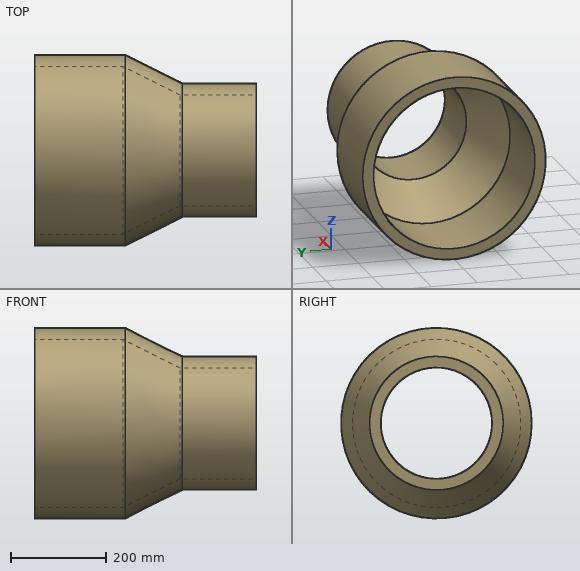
import math

import cadquery as cq

wide_diameter = 400.0
narrow_diameter = 280.0
wall = 23.7

total_length = 465.0
wide_length = 190.0
taper_length = 120.0

taper_angle = math.atan2((wide_diameter - narrow_diameter) / 2, taper_length)
bore_shift = wall * math.tan(taper_angle / 2)


def stepped_body(wide_radius, narrow_radius, taper_start):
    """Solid of revolution about X: wide cylinder, cone, narrow cylinder."""
    return (
        cq.Workplane("XY")
        .lineTo(0, wide_radius)
        .lineTo(taper_start, wide_radius)
        .lineTo(taper_start + taper_length, narrow_radius)
        .lineTo(total_length, narrow_radius)
        .lineTo(total_length, 0)
        .close()
        .revolve(360, (0, 0, 0), (1, 0, 0))
    )


outer_body = stepped_body(wide_diameter / 2, narrow_diameter / 2, wide_length)
bore = stepped_body(wide_diameter / 2 - wall, narrow_diameter / 2 - wall, wide_length - bore_shift)

result = outer_body.cut(bore)